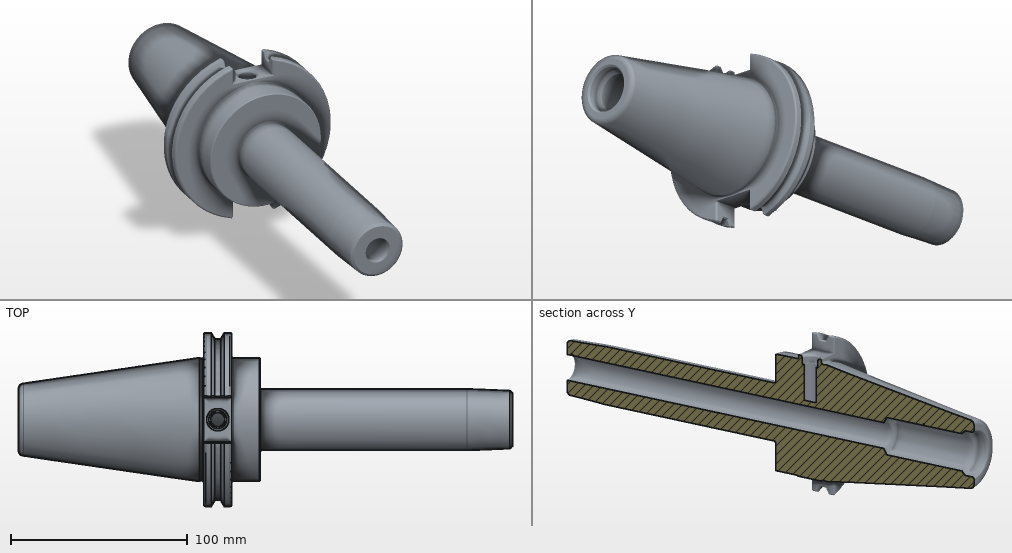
import cadquery as cq
import math

TAPER_LENGTH = 101.6
PROJECTION = 177.8
TAPER_RATE = 7 / 24
GAGE_DIAMETER = 69.85
TAPER_END_ROUND = 3.1

GAGE_LAND_WIDTH = 1.0
NECK_DIAMETER = 69.34
FLANGE_START = 3.175
FLANGE_WIDTH = 15.875
FLANGE_DIAMETER = 98.425
FLANGE_EDGE_ROUND = 1.1

GROOVE_FLOOR_WIDTH = 3.4
GROOVE_DEPTH = 3.45
GROOVE_HALF_ANGLE = 30

HUB_DIAMETER = 69.85
HUB_END = 35.0
HUB_CHAMFER = 0.5
ROOT_ROUND = 0.8

SHANK_DIAMETER = 34.92
NOSE_LENGTH = 26.0
NOSE_END_DIAMETER = 32.9
NOSE_CHAMFER = 1.5

SLOT_WIDTH = 25.0
SLOT_CHAMFER = 0.9
TOP_SLOT_FLOOR = 37.3
BOTTOM_SLOT_FLOOR = 35.3

SIDE_HOLE_DIAMETER = 8.0
SIDE_HOLE_THREAD_DIAMETER = 10.13
SIDE_HOLE_MOUTH_DIAMETER = 12.6
SIDE_HOLE_THREAD_DEPTH = 5.0
SIDE_HOLE_FLOOR_RADIUS = 11.0

BORE_DIAMETER = 15.09
THREAD_BORE_DIAMETER = 21.97
THREAD_BORE_DEPTH = 60.0
THREAD_BORE_HALF_ANGLE = 59
COUNTERBORE_DIAMETER = 26.36
COUNTERBORE_DEPTH = 6.3
MOUTH_DIAMETER = 28.4

SELECTION_MARGIN = 0.05

REAR = -TAPER_LENGTH
FLANGE_END = FLANGE_START + FLANGE_WIDTH
FLANGE_MIDDLE = FLANGE_START + FLANGE_WIDTH / 2
SMALL_END_DIAMETER = GAGE_DIAMETER - TAPER_LENGTH * TAPER_RATE


def revolve_profile(points):
    """Turn a closed (x, radius) outline about the X axis."""
    return cq.Workplane("XY").polyline(points).close().revolve(360, (0, 0, 0), (1, 0, 0))


def make_taper():
    taper = revolve_profile([
        (REAR, 0),
        (REAR, SMALL_END_DIAMETER / 2),
        (0, GAGE_DIAMETER / 2),
        (0, 0),
    ])
    return taper.faces("<X").edges().fillet(TAPER_END_ROUND)


def make_disc(start, end, diameter):
    return cq.Workplane("YZ", origin=(start, 0, 0)).circle(diameter / 2).extrude(end - start)


def make_flange():
    flange = make_disc(FLANGE_START, FLANGE_END, FLANGE_DIAMETER)
    flange = flange.edges().fillet(FLANGE_EDGE_ROUND).cut(make_groove())
    flange = flange.cut(make_drive_slot(TOP_SLOT_FLOOR, 1)).cut(make_drive_slot(BOTTOM_SLOT_FLOOR, -1))
    return chamfer_slot_walls(flange)


def chamfer_slot_walls(flange):
    """Break every outer edge of the four slot walls, leaving the floor corners sharp."""
    for side in (-1, 1):
        wall = side * SLOT_WIDTH / 2
        for floor in (TOP_SLOT_FLOOR, -BOTTOM_SLOT_FLOOR):
            rim = math.copysign(FLANGE_DIAMETER / 2, floor)
            above_floor = floor + math.copysign(SELECTION_MARGIN, floor)
            wall_edges = cq.selectors.BoxSelector(
                (FLANGE_START - SELECTION_MARGIN, wall - SELECTION_MARGIN, above_floor),
                (FLANGE_END + SELECTION_MARGIN, wall + SELECTION_MARGIN, rim),
            )
            flange = flange.edges(wall_edges).chamfer(SLOT_CHAMFER)
    return flange


def make_groove():
    rim = FLANGE_DIAMETER / 2
    floor = rim - GROOVE_DEPTH
    half_floor = GROOVE_FLOOR_WIDTH / 2
    half_mouth = half_floor + GROOVE_DEPTH * math.tan(math.radians(GROOVE_HALF_ANGLE))
    return revolve_profile([
        (FLANGE_MIDDLE - half_mouth, rim),
        (FLANGE_MIDDLE - half_floor, floor),
        (FLANGE_MIDDLE + half_floor, floor),
        (FLANGE_MIDDLE + half_mouth, rim),
    ])


def make_root_round(face_x, radius, direction):
    """Concave ring blending a cylinder into a flat face; direction is the side it lies on."""
    tip_x = face_x + direction * ROOT_ROUND
    middle = ROOT_ROUND * (1 - math.sqrt(0.5))
    return (
        cq.Workplane("XY")
        .moveTo(face_x, radius)
        .lineTo(tip_x, radius)
        .threePointArc((face_x + direction * middle, radius + middle), (face_x, radius + ROOT_ROUND))
        .close()
        .revolve(360, (0, 0, 0), (1, 0, 0))
    )


def make_hub():
    hub = make_disc(FLANGE_MIDDLE, HUB_END, HUB_DIAMETER)
    return hub.faces(">X").edges().chamfer(HUB_CHAMFER)


def make_shank():
    return revolve_profile([
        (0, 0),
        (0, SHANK_DIAMETER / 2),
        (PROJECTION - NOSE_LENGTH, SHANK_DIAMETER / 2),
        (PROJECTION - NOSE_CHAMFER, NOSE_END_DIAMETER / 2),
        (PROJECTION, NOSE_END_DIAMETER / 2 - NOSE_CHAMFER),
        (PROJECTION, 0),
    ])


def make_drive_slot(floor, direction):
    height = FLANGE_DIAMETER / 2
    return cq.Workplane("XY").box(FLANGE_WIDTH, SLOT_WIDTH, height).translate(
        (FLANGE_MIDDLE, 0, direction * (floor + height / 2))
    )


def make_side_hole():
    """Countersunk, stepped radial hole in the upper slot floor, ending on a cylinder about X."""
    thread_bottom = TOP_SLOT_FLOOR - SIDE_HOLE_THREAD_DEPTH
    countersink = (SIDE_HOLE_MOUTH_DIAMETER - SIDE_HOLE_THREAD_DIAMETER) / 2
    hole = (
        cq.Workplane("XZ", origin=(FLANGE_MIDDLE, 0, 0))
        .polyline([
            (0, 0),
            (SIDE_HOLE_DIAMETER / 2, 0),
            (SIDE_HOLE_DIAMETER / 2, thread_bottom),
            (SIDE_HOLE_THREAD_DIAMETER / 2, thread_bottom),
            (SIDE_HOLE_THREAD_DIAMETER / 2, TOP_SLOT_FLOOR - countersink),
            (SIDE_HOLE_MOUTH_DIAMETER / 2, TOP_SLOT_FLOOR),
            (0, TOP_SLOT_FLOOR),
        ])
        .close()
        .revolve(360, (0, 0, 0), (0, 1, 0))
    )
    return hole.cut(make_disc(FLANGE_START, FLANGE_END, 2 * SIDE_HOLE_FLOOR_RADIUS))


def make_bore():
    mouth_depth = (MOUTH_DIAMETER - COUNTERBORE_DIAMETER) / 2
    shoulder = REAR + COUNTERBORE_DEPTH
    shoulder_length = (COUNTERBORE_DIAMETER - THREAD_BORE_DIAMETER) / 2
    thread_end = REAR + THREAD_BORE_DEPTH
    cone_height = (THREAD_BORE_DIAMETER - BORE_DIAMETER) / 2
    cone_length = cone_height / math.tan(math.radians(THREAD_BORE_HALF_ANGLE))
    return revolve_profile([
        (REAR, 0),
        (REAR, MOUTH_DIAMETER / 2),
        (REAR + mouth_depth, COUNTERBORE_DIAMETER / 2),
        (shoulder, COUNTERBORE_DIAMETER / 2),
        (shoulder + shoulder_length, THREAD_BORE_DIAMETER / 2),
        (thread_end, THREAD_BORE_DIAMETER / 2),
        (thread_end + cone_length, BORE_DIAMETER / 2),
        (PROJECTION, BORE_DIAMETER / 2),
        (PROJECTION, 0),
    ])


land = make_disc(0, GAGE_LAND_WIDTH, GAGE_DIAMETER)
neck = make_disc(0, FLANGE_MIDDLE, NECK_DIAMETER)
body = make_taper().union(land).union(neck).union(make_flange()).union(make_hub()).union(make_shank())
body = body.union(make_root_round(FLANGE_START, NECK_DIAMETER / 2, -1))
body = body.union(make_root_round(FLANGE_END, HUB_DIAMETER / 2, 1))
body = body.union(make_root_round(HUB_END, SHANK_DIAMETER / 2, 1))
result = body.cut(make_side_hole()).cut(make_bore())